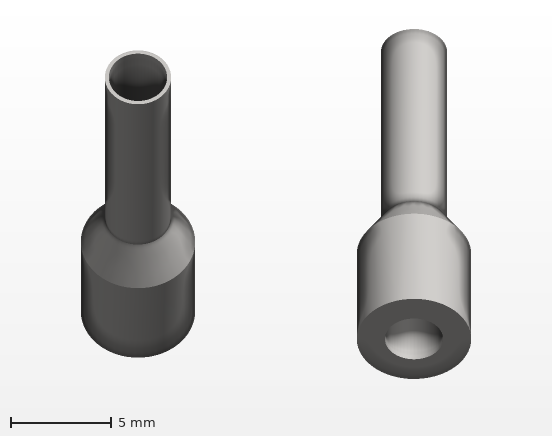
import cadquery as cq

total_length = 20.0
tube_outer_diameter = 3.3
tube_inner_diameter = 2.9
collar_diameter = 5.7
collar_straight_height = 5.95
collar_height = 8.0

tube_outer_radius = tube_outer_diameter / 2
collar_radius = collar_diameter / 2


def make_tube():
    """Thin metal tube running the full length of the ferrule."""
    return (
        cq.Workplane("XY")
        .circle(tube_outer_radius)
        .circle(tube_inner_diameter / 2)
        .extrude(total_length)
    )


def make_collar():
    """Insulating collar: a cylinder tapering to the tube, bored to fit it."""
    outline = (
        cq.Workplane("XZ")
        .moveTo(tube_outer_radius, 0)
        .lineTo(collar_radius, 0)
        .lineTo(collar_radius, collar_straight_height)
        .lineTo(tube_outer_radius, collar_height)
        .close()
    )
    return outline.revolve(360, (0, 0, 0), (0, 1, 0))


tube = make_tube()
collar = make_collar()

result = cq.Compound.makeCompound([tube.val(), collar.val()])